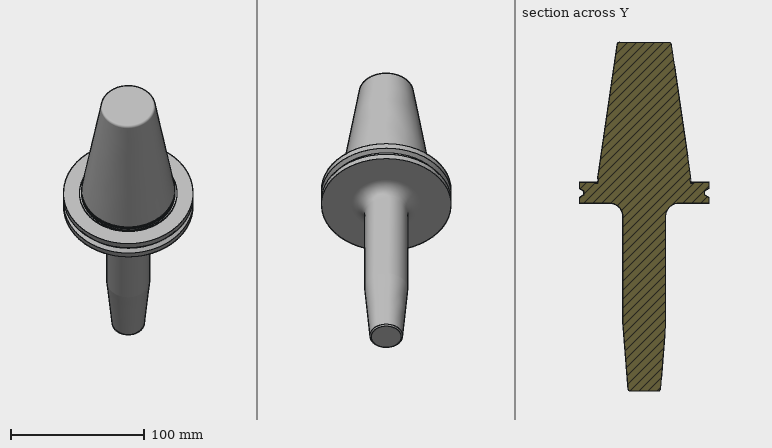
import cadquery as cq
import math

total_height = 261.8
gauge_height = 160.0
flange_top = 156.8
flange_bottom = 140.8
neck_fillet_start = 131.1
nose_top = 51.0

gauge_radius = 35.0
taper_slope = 7 / 24 / 2
top_fillet = 2.0

relief_depth = 0.5
relief_top = 159.1
relief_bottom = 157.5

recess_outer_radius = 36.6
recess_depth = 0.8

flange_radius = 48.7
groove_center = 148.7
groove_floor_radius = 45.5
groove_floor_width = 3.0
groove_wall_angle = 30

neck_radius = 16.2
neck_fillet = flange_bottom - neck_fillet_start
tip_radius = 12.3
tip_chamfer = 1.0

groove_wall_height = (flange_radius - groove_floor_radius) * math.tan(math.radians(groove_wall_angle))
groove_floor_top = groove_center + groove_floor_width / 2
groove_floor_bottom = groove_center - groove_floor_width / 2
relief_radius = gauge_radius - relief_depth
recess_floor = flange_top - recess_depth
taper_top = total_height - top_fillet
top_radius = gauge_radius - (taper_top - gauge_height) * taper_slope


def arc_midpoint(center_radius, center_height, radius, radial_sign):
    """Middle of the upper inner (-1) or upper outer (+1) quarter of a circle."""
    offset = radius * math.sqrt(0.5)
    return (center_radius + radial_sign * offset, center_height + offset)


neck_fillet_radius = neck_radius + neck_fillet
top_flat_radius = top_radius - top_fillet

profile = (
    cq.Workplane("XZ")
    .moveTo(0, 0)
    .lineTo(tip_radius - tip_chamfer, 0)
    .lineTo(tip_radius, tip_chamfer)
    .lineTo(neck_radius, nose_top)
    .lineTo(neck_radius, neck_fillet_start)
    .threePointArc(
        arc_midpoint(neck_fillet_radius, neck_fillet_start, neck_fillet, -1),
        (neck_fillet_radius, flange_bottom),
    )
    .lineTo(flange_radius, flange_bottom)
    .lineTo(flange_radius, groove_floor_bottom - groove_wall_height)
    .lineTo(groove_floor_radius, groove_floor_bottom)
    .lineTo(groove_floor_radius, groove_floor_top)
    .lineTo(flange_radius, groove_floor_top + groove_wall_height)
    .lineTo(flange_radius, flange_top)
    .lineTo(recess_outer_radius, flange_top)
    .lineTo(recess_outer_radius, recess_floor)
    .lineTo(gauge_radius, recess_floor)
    .lineTo(gauge_radius, relief_bottom)
    .lineTo(relief_radius, relief_bottom)
    .lineTo(relief_radius, relief_top)
    .lineTo(gauge_radius, relief_top)
    .lineTo(gauge_radius, gauge_height)
    .lineTo(top_radius, taper_top)
    .threePointArc(
        arc_midpoint(top_flat_radius, taper_top, top_fillet, 1),
        (top_flat_radius, total_height),
    )
    .lineTo(0, total_height)
    .close()
)

result = profile.revolve(360, (0, 0, 0), (0, 1, 0))